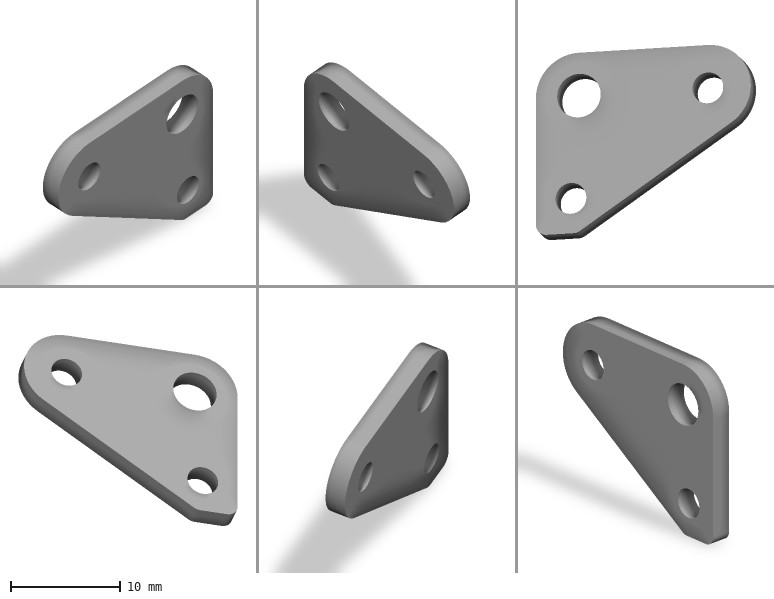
import cadquery as cq
import math

thickness = 2.0
length = 20.25
height = 17.0
upper_corner_radius = 4.05
lower_corner_radius = 1.0
slope_angle = 33.3

pivot_hole_diameter = 4.1
small_hole_diameter = 2.9
lower_hole_offset_y = 0.75
lower_hole_offset_z = 9.65

far_hole_y = upper_corner_radius - (length - upper_corner_radius)
left_y = upper_corner_radius
top_z = upper_corner_radius
bottom_z = top_z - height


def point_on_arc(center, radius, angle_degrees):
    """Point at an angle measured from +Y toward +Z."""
    angle = math.radians(angle_degrees)
    return (center[0] + radius * math.cos(angle), center[1] + radius * math.sin(angle))


def make_plate():
    """Rounded triangular plate with a short flat foot and a sloped lower edge."""
    pivot = (0, 0)
    far_end = (far_hole_y, 0)

    slope_normal_angle = 270 - slope_angle
    tangent = point_on_arc(far_end, upper_corner_radius, slope_normal_angle)
    slope_run = (tangent[1] - bottom_z) / math.tan(math.radians(slope_angle))
    foot_corner = (tangent[0] + slope_run, bottom_z)
    far_arc_middle = point_on_arc(far_end, upper_corner_radius, (90 + slope_normal_angle) / 2)

    plate = (
        cq.Workplane("YZ")
        .moveTo(left_y, bottom_z)
        .lineTo(left_y, 0)
        .threePointArc(point_on_arc(pivot, upper_corner_radius, 45), (0, top_z))
        .lineTo(far_hole_y, top_z)
        .threePointArc(far_arc_middle, tangent)
        .lineTo(*foot_corner)
        .close()
        .extrude(thickness)
    )
    foot_corners = cq.selectors.BoxSelector(
        (0, foot_corner[0] - lower_corner_radius, bottom_z - lower_corner_radius),
        (thickness, left_y + lower_corner_radius, bottom_z + lower_corner_radius),
    )
    return plate.edges("|X").edges(foot_corners).fillet(lower_corner_radius)


def make_holes(centers, diameter):
    """Cutters for holes through the plate thickness."""
    return cq.Workplane("YZ").pushPoints(centers).circle(diameter / 2).extrude(thickness)


small_hole_centers = [
    (far_hole_y, 0),
    (lower_hole_offset_y, -lower_hole_offset_z),
]

result = (
    make_plate()
    .cut(make_holes([(0, 0)], pivot_hole_diameter))
    .cut(make_holes(small_hole_centers, small_hole_diameter))
)